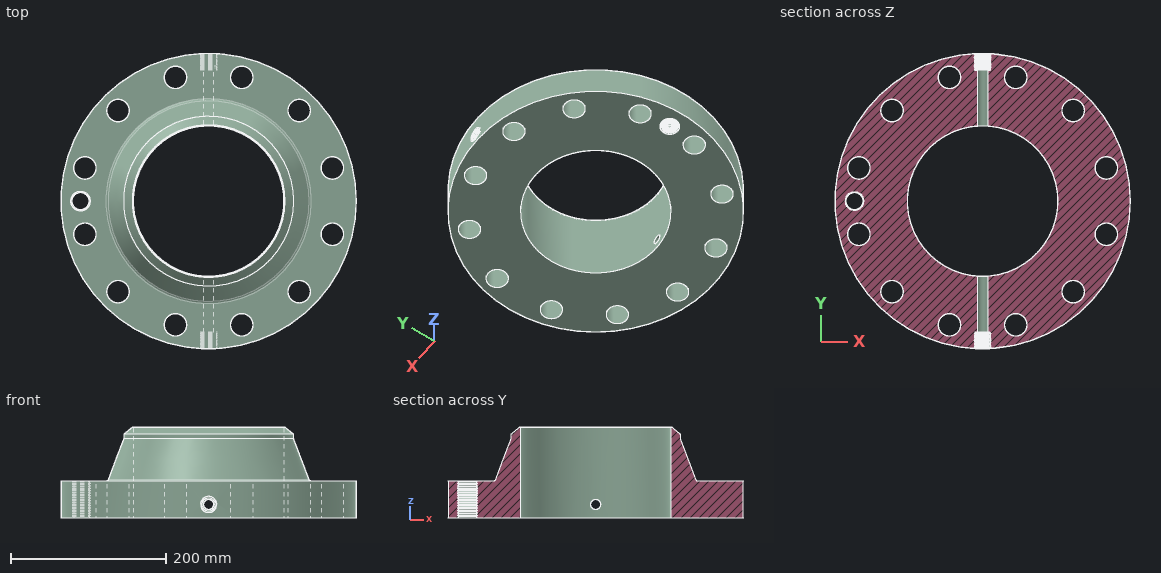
import cadquery as cq
import math

inch = 25.4

flange_diameter = 381.0
flange_thickness = 48.0
overall_height = 117.35

hub_base_diameter = 260.3
hub_fillet = 3.0
pipe_diameter = 219.1
pipe_wall = 12.7
bore_diameter = pipe_diameter - 2 * pipe_wall
weld_land = 1.6
bevel_height = 9.2
neck_height = 5.8

bolt_count = 12
bolt_circle_diameter = 330.2
bolt_hole_diameter = 28.6

jack_angle = 180.0
jack_minor_diameter = 21.8
jack_major_diameter = inch
jack_pitch = inch / 8

tap_height = 17.6
tap_hole_diameter = inch / 2
tap_minor_diameter = 17.0
tap_major_diameter = 21.3
tap_pitch = inch / 14
tap_thread_turns = 12


def flange_body():
    """Revolve the flange, hub and bevelled weld neck around the bore axis."""
    flange_radius = flange_diameter / 2
    bore_radius = bore_diameter / 2
    pipe_radius = pipe_diameter / 2
    bevel_start = overall_height - bevel_height
    body = (
        cq.Workplane("XZ")
        .moveTo(bore_radius, 0)
        .lineTo(flange_radius, 0)
        .lineTo(flange_radius, flange_thickness)
        .lineTo(hub_base_diameter / 2, flange_thickness)
        .lineTo(pipe_radius, bevel_start - neck_height)
        .lineTo(pipe_radius, bevel_start)
        .lineTo(bore_radius + weld_land, overall_height)
        .lineTo(bore_radius, overall_height)
        .close()
        .revolve(360, (0, 0, 0), (0, 1, 0))
    )
    search_size = 2 * flange_diameter
    search_height = 1.0
    flange_top = cq.selectors.BoxSelector(
        (-search_size, -search_size, flange_thickness - search_height),
        (search_size, search_size, flange_thickness + search_height),
    )
    hub_edge = body.edges(flange_top).edges(cq.selectors.RadiusNthSelector(0))
    return body.newObject(hub_edge.vals()).fillet(hub_fillet)


def bolt_holes():
    """Ring of plain through holes, half a step off the X axis."""
    half_step = 180 / bolt_count
    return (
        cq.Workplane("XY")
        .polarArray(bolt_circle_diameter / 2, half_step, 360, bolt_count)
        .circle(bolt_hole_diameter / 2)
        .extrude(flange_thickness)
    )


def thread_cutter(minor_diameter, major_diameter, pitch, turns):
    """Stack of V-shaped rings along +Z from the origin, standing in for a thread."""
    minor_radius = minor_diameter / 2
    major_radius = major_diameter / 2
    outline = cq.Workplane("XZ").lineTo(major_radius, 0)
    for turn in range(turns):
        outline = outline.lineTo(minor_radius, (turn + 0.5) * pitch)
        outline = outline.lineTo(major_radius, (turn + 1) * pitch)
    outline = outline.lineTo(0, turns * pitch).close()
    return outline.revolve(360, (0, 0, 0), (0, 1, 0))


def jack_screw_hole():
    """Threaded hole through the full flange thickness."""
    turns = math.ceil(flange_thickness / jack_pitch)
    cutter = thread_cutter(jack_minor_diameter, jack_major_diameter, jack_pitch, turns)
    return (
        cutter.rotate((0, 0, 0), (1, 0, 0), 180)
        .translate((bolt_circle_diameter / 2, 0, flange_thickness))
        .rotate((0, 0, 0), (0, 0, 1), jack_angle)
    )


def pressure_tap():
    """Radial drilling at -Y with a threaded mouth at the flange rim."""
    flange_radius = flange_diameter / 2
    drilling = cq.Workplane("XY").circle(tap_hole_diameter / 2).extrude(flange_radius)
    thread = thread_cutter(tap_minor_diameter, tap_major_diameter, tap_pitch, tap_thread_turns)
    return (
        drilling.union(thread)
        .rotate((0, 0, 0), (1, 0, 0), -90)
        .translate((0, -flange_radius, tap_height))
    )


front_tap = pressure_tap()
rear_tap = front_tap.rotate((0, 0, 0), (0, 0, 1), 180)

result = flange_body().cut(bolt_holes()).cut(jack_screw_hole()).cut(front_tap).cut(rear_tap)